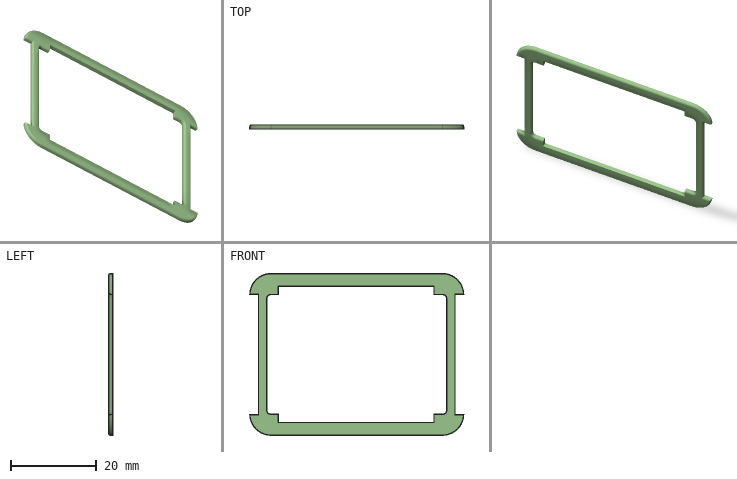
import cadquery as cq

length = 50.0
thickness = 1.0
height = 37.8
corner_radius = 5.0
rim_radius = 0.5

shoulder_depth = 4.85
rail_inset = 2.0
rail_width = 2.0

bar_width = 3.0
lip_depth = 4.95
lip_inset_left = 6.7
lip_inset_right = 7.0
window_radius = 0.9

rail_span = length - 2 * rail_inset
rail_height = height - 2 * shoulder_depth
window_length = rail_span - 2 * rail_width
window_height = height - 2 * lip_depth
tall_length = length - lip_inset_left - lip_inset_right
tall_shift = (lip_inset_left - lip_inset_right) / 2
tall_height = height - 2 * bar_width


def block(x_size, z_size):
    """Centred block spanning the frame thickness."""
    return cq.Workplane("XY").box(x_size, thickness, z_size)


def frame_plate():
    """Rounded plate notched beside each rail, with its whole outer +Y rim rounded."""
    plate = block(length, height).edges("|Y").fillet(corner_radius)
    notches = block(length, rail_height).cut(block(rail_span, rail_height))
    return plate.cut(notches).faces(">Y").edges().fillet(rim_radius)


def cut_window(plate):
    """Cut the window with rounded corners, then round its +Y rim."""
    window = block(window_length, window_height).edges("|Y").fillet(window_radius)
    framed = plate.cut(window)
    rim = framed.faces(">Y").val().innerWires()[0]
    return framed.newObject(rim.Edges()).fillet(rim_radius)


def tall_cutter():
    """Square-edged clearance between the bars, slightly off centre in X."""
    return block(tall_length, tall_height).translate((tall_shift, 0, 0))


result = cut_window(frame_plate()).cut(tall_cutter())